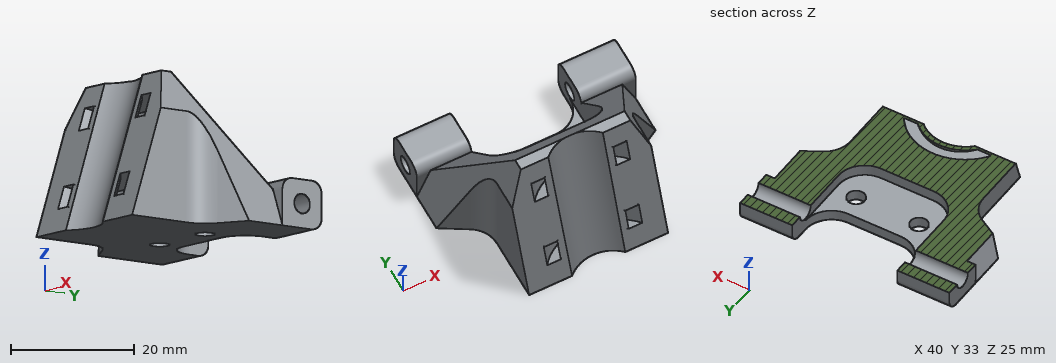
import cadquery as cq
import math


width = 40.0
height = 25.0
body_depth = 25.0
top_width = 20.0
top_front_y = 8.0
top_back_y = 10.0
back_slope_foot_y = 30.0
side_cut_z = height + 1.0

front_width = 25.4
shoulder_y = 14.0
shoulder_angle = math.radians(30)
shoulder_radius = 5.0

lug_gap = 20.0
lug_size_y = 8.0
lug_height = 8.0
lug_radius = 2.0
overall_depth = body_depth + lug_size_y
lug_center_y = body_depth + lug_size_y / 2

pocket_front_y = 14.0
floor_back_y = 24.0
floor_thickness = 2.0
pocket_radius = 5.0
hole_diameter = 3.2
screw_spacing = 12.0
screw_y = 20.0

seat_radius = 7.25
seat_tilt = 18.0
seat_depth_at_base = 1.96
seat_margin = 10.0
seat_length = height / math.cos(math.radians(seat_tilt)) + 2 * seat_margin

tie_inner_radius = 8.2
tie_outer_radius = 10.2
tie_width = 4.0
tie_positions = (5.8, 19.8)


def make_body():
    """Wedge common to its side profile, front trapezoid and plan outline."""
    slope = height / (back_slope_foot_y - top_back_y)
    back_z = slope * (back_slope_foot_y - body_depth)
    side_points = [
        (0, 0),
        (body_depth, 0),
        (body_depth, back_z),
        (top_back_y, height),
        (top_front_y, height),
    ]
    side = (
        cq.Workplane("YZ")
        .polyline(side_points)
        .close()
        .extrude(width / 2, both=True)
    )
    trapezoid = (
        cq.Workplane("XZ")
        .polyline([(-width / 2, 0), (width / 2, 0), (top_width / 2, height), (-top_width / 2, height)])
        .close()
        .extrude(-body_depth)
    )
    return side.intersect(trapezoid).cut(make_side_cut(1)).cut(make_side_cut(-1))


def make_side_cut(side):
    """Material beside the narrow front part, with a rounded inner corner; side is +1 or -1."""
    inner_x = side * front_width / 2
    outer_x = side * width / 2
    outer_y = shoulder_y + (width - front_width) / 2 * math.tan(shoulder_angle)
    return (
        cq.Workplane("XY")
        .polyline([(inner_x, 0), (outer_x, 0), (outer_x, outer_y), (inner_x, shoulder_y)])
        .close()
        .extrude(side_cut_z)
        .edges(cq.selectors.NearestToPointSelector((inner_x, shoulder_y, side_cut_z / 2)))
        .fillet(shoulder_radius)
    )


def make_lugs():
    """Two hinge lugs rounded along all long edges but the lower front one."""
    bar = (
        cq.Workplane("XY")
        .box(width, lug_size_y, lug_height, centered=(True, False, False))
        .translate((0, body_depth, 0))
    )
    bar = bar.edges("|X and (>Z or >Y)").fillet(lug_radius)
    gap = cq.Workplane("XY").box(lug_gap, 2 * overall_depth, 2 * lug_height)
    return bar.cut(gap)


def make_pocket():
    """Round-cornered clearance above the floor, open towards the back."""
    return (
        cq.Workplane("XY", origin=(0, pocket_front_y, floor_thickness))
        .box(lug_gap, overall_depth - pocket_front_y, height, centered=(True, False, False))
        .edges("|Z and <Y")
        .fillet(pocket_radius)
    )


def make_floor():
    """Floor plate whose back edge curves out into the inner lug walls."""
    inner_x = lug_gap / 2
    arc_end_x = inner_x - pocket_radius
    arc_end_y = floor_back_y + pocket_radius
    return (
        cq.Workplane("XY")
        .moveTo(-inner_x, pocket_front_y)
        .lineTo(inner_x, pocket_front_y)
        .lineTo(inner_x, arc_end_y)
        .radiusArc((arc_end_x, floor_back_y), pocket_radius)
        .lineTo(-arc_end_x, floor_back_y)
        .radiusArc((-inner_x, arc_end_y), pocket_radius)
        .close()
        .extrude(floor_thickness)
    )


def make_back_opening():
    """Space between the lugs, from the back edge of the floor outwards."""
    return (
        cq.Workplane("XY", origin=(0, floor_back_y, 0))
        .box(lug_gap, overall_depth - floor_back_y, height, centered=(True, False, False))
    )


def make_screw_holes():
    return (
        cq.Workplane("XY")
        .pushPoints([(-screw_spacing / 2, screw_y), (screw_spacing / 2, screw_y)])
        .circle(hole_diameter / 2)
        .extrude(floor_thickness)
    )


def make_hinge_hole():
    return (
        cq.Workplane("YZ")
        .center(lug_center_y, lug_height / 2)
        .circle(hole_diameter / 2)
        .extrude(width / 2, both=True)
    )


def place_on_seat(tool):
    """Move a tool built around the Z axis onto the tilted seat axis."""
    tilted = tool.translate((0, -seat_radius, 0)).rotate((0, 0, 0), (1, 0, 0), -seat_tilt)
    return tilted.translate((0, seat_depth_at_base, 0))


def make_seat():
    cylinder = cq.Workplane("XY", origin=(0, 0, -seat_margin)).circle(seat_radius).extrude(seat_length)
    return place_on_seat(cylinder)


def make_tie_channel(position):
    ring = (
        cq.Workplane("XY", origin=(0, 0, position - tie_width / 2))
        .circle(tie_outer_radius)
        .circle(tie_inner_radius)
        .extrude(tie_width)
    )
    return place_on_seat(ring)


result = make_body().union(make_lugs())
result = result.cut(make_pocket()).cut(make_back_opening()).union(make_floor())
result = result.cut(make_screw_holes()).cut(make_hinge_hole()).cut(make_seat())
for tie_position in tie_positions:
    result = result.cut(make_tie_channel(tie_position))